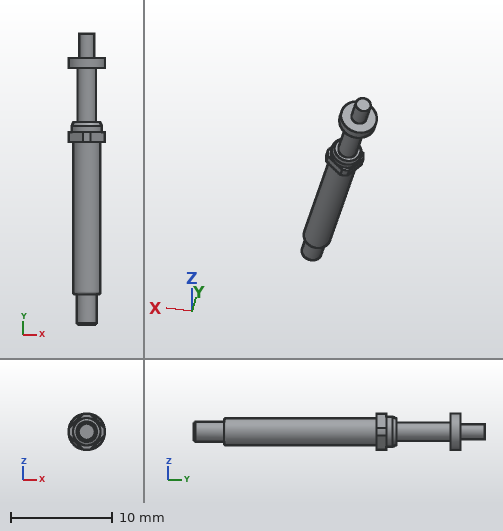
import cadquery as cq


tip_diameter = 1.5
flange_diameter = 3.6
stem_diameter = 1.85
collar_diameter = 3.0
barrel_diameter = 2.7
tail_diameter = 2.0

tip_length = 2.4
flange_length = 1.0
stem_length = 5.3
collar_length = 1.0
flats_length = 1.0
barrel_length = 15.0
tail_length = 3.0

collar_taper_length = 0.4
collar_taper_depth = 0.2
barrel_fillet = 0.25
tail_chamfer = 0.2

flats_disc_diameter = flange_diameter
across_flats = collar_diameter
flats_angle = 45

collar_start = flats_length
stem_start = collar_start + collar_length
flange_start = stem_start + stem_length
tip_start = flange_start + flange_length
barrel_end = -barrel_length


def cylinder(diameter, start, length):
    """Solid cylinder on the Y axis, running from start towards +Y."""
    return cq.Workplane("XZ", origin=(0, start, 0)).circle(diameter / 2).extrude(-length)


def make_plunger():
    """Tip, flange and stem of the sliding plunger."""
    tip = cylinder(tip_diameter, tip_start, tip_length)
    flange = cylinder(flange_diameter, flange_start, flange_length)
    stem = cylinder(stem_diameter, stem_start, stem_length)
    return stem.union(flange).union(tip)


def make_collar():
    """Plain collar with a tapered front edge."""
    collar = cylinder(collar_diameter, collar_start, collar_length)
    return collar.faces(">Y").chamfer(collar_taper_length, collar_taper_depth)


def make_flats():
    """Round disc cut by four flats set diagonally to X and Z."""
    disc = cylinder(flats_disc_diameter, 0, flats_length)
    square = (
        cq.Workplane("XZ")
        .rect(across_flats, across_flats)
        .extrude(-flats_length)
        .rotate((0, 0, 0), (0, 1, 0), flats_angle)
    )
    return disc.intersect(square)


def make_barrel():
    """Long barrel with a rounded rear edge."""
    return cylinder(barrel_diameter, barrel_end, barrel_length).faces("<Y").fillet(barrel_fillet)


def make_tail():
    """Short terminal behind the barrel with a chamfered end."""
    tail = cylinder(tail_diameter, barrel_end - tail_length, tail_length)
    return tail.faces("<Y").chamfer(tail_chamfer)


result = (
    make_barrel()
    .union(make_tail())
    .union(make_flats())
    .union(make_collar())
    .union(make_plunger())
)